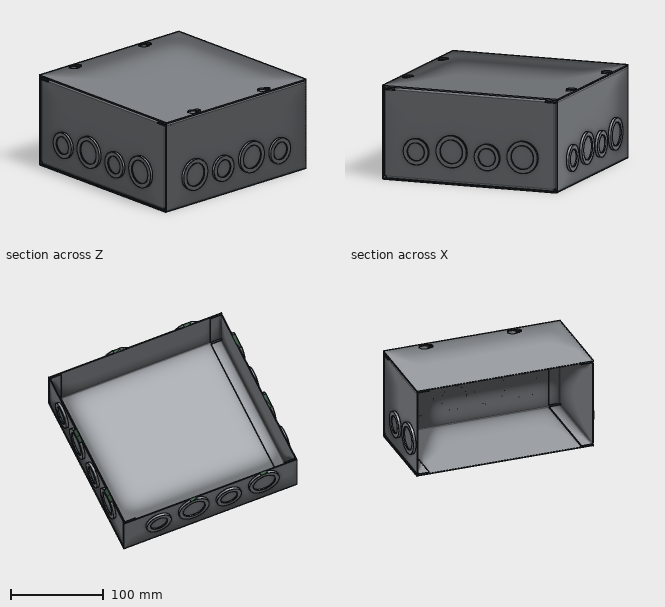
import cadquery as cq

box_side = 203.3
total_height = 103.1
sheet = 1.5
boss_height = 3.0

half_side = box_side / 2
rim_height = total_height - sheet

wrapper_bend_radius = 2.0
panel_bend_radius = 2.5
flange_width = 14.0

panel_half_width = half_side - sheet
top_flange_half_length = 87.5
top_relief_depth = 3.1
bottom_relief = 2.7

knockout_count = 4
knockout_pitch = 41.2
small_ring_diameter = 28.9
small_centre_diameter = 19.7
large_ring_diameter = 35.1
large_centre_diameter = 26.0
centre_depth = 1.5
knockout_bottom_on_panel = 19.0
knockout_bottom_on_side = 17.0

screw_x = 94.7
screw_y = box_side / 4
screw_hole_diameter = 4.2
keyhole_slot_width = 7.0
keyhole_head_diameter = 11.0
keyhole_length = 6.5

screw_points = [(sx * screw_x, sy * screw_y) for sx in (-1, 1) for sy in (-1, 1)]


def block(x_range, y_range, z_range):
    """Box between the given limits."""
    (x0, x1), (y0, y1), (z0, z1) = x_range, y_range, z_range
    return cq.Workplane("XY").box(x1 - x0, y1 - y0, z1 - z0, centered=False).translate((x0, y0, z0))


def make_knockout_row(plane, bottom):
    """Build a row of alternating small and large knockouts along the plane's local X axis."""
    sizes = [(small_ring_diameter, small_centre_diameter), (large_ring_diameter, large_centre_diameter)]
    row = cq.Workplane("XY")
    for index in range(knockout_count):
        ring_diameter, centre_diameter = sizes[index % 2]
        place = ((index - (knockout_count - 1) / 2) * knockout_pitch, bottom + ring_diameter / 2)
        ring = cq.Workplane(plane).center(*place).circle(ring_diameter / 2).extrude(boss_height)
        centre = (
            cq.Workplane(plane)
            .workplane(offset=boss_height - centre_depth)
            .center(*place)
            .circle(centre_diameter / 2)
            .extrude(centre_depth)
        )
        row = row.union(ring.cut(centre))
    return row


def make_wrapper():
    """Floor and both X side walls bent from one sheet, with inward flanges under the cover."""
    full_length = (-half_side, half_side)
    outside = block(full_length, full_length, (0, rim_height)).edges("|Y").fillet(wrapper_bend_radius)
    inner_half = half_side - sheet
    inside = block((-inner_half, inner_half), full_length, (sheet, rim_height - sheet))
    inside = inside.edges("|Y").fillet(wrapper_bend_radius - sheet)
    opening_half = half_side - flange_width
    opening = block((-opening_half, opening_half), full_length, (rim_height / 2, rim_height))
    wrapper = outside.cut(inside).cut(opening)

    screw_holes = (
        cq.Workplane("XY")
        .workplane(offset=rim_height - sheet)
        .pushPoints(screw_points)
        .circle(screw_hole_diameter / 2)
        .extrude(sheet)
    )
    wrapper = wrapper.cut(screw_holes)

    left_row = cq.Plane(origin=(-half_side, 0, 0), xDir=(0, -1, 0), normal=(-1, 0, 0))
    knockouts = make_knockout_row(left_row, knockout_bottom_on_side)
    return wrapper.union(knockouts).union(knockouts.mirror("YZ"))


def make_end_panel():
    """Tray-shaped panel closing the -Y end, its four flanges bent inward."""
    depth_range = (-half_side, -half_side + flange_width)
    width_range = (-panel_half_width, panel_half_width)
    outside = block(width_range, depth_range, (sheet, rim_height))
    outside = outside.faces("<Y").edges().fillet(panel_bend_radius)
    inner_half = panel_half_width - sheet
    inside = block(
        (-inner_half, inner_half),
        (depth_range[0] + sheet, depth_range[1]),
        (2 * sheet, rim_height - sheet),
    )
    inside = inside.faces("<Y").edges().fillet(panel_bend_radius - sheet)
    panel = outside.cut(inside)

    top_relief = block(
        (top_flange_half_length, half_side), depth_range, (rim_height - top_relief_depth, rim_height)
    )
    bottom_corner = block(
        (panel_half_width - bottom_relief, half_side), depth_range, (sheet, sheet + bottom_relief)
    )
    for relief in (top_relief, bottom_corner):
        panel = panel.cut(relief).cut(relief.mirror("YZ"))

    row_plane = cq.Plane(origin=(0, -half_side, 0), xDir=(1, 0, 0), normal=(0, -1, 0))
    return panel.union(make_knockout_row(row_plane, knockout_bottom_on_panel))


def make_cover():
    """Flat square cover with four keyholes."""
    cover = cq.Workplane("XY").workplane(offset=rim_height).rect(box_side, box_side).extrude(sheet)
    for x, y in screw_points:
        base = cq.Workplane("XY").workplane(offset=rim_height)
        head_y = y - keyhole_length
        slot_end = base.center(x, y).circle(keyhole_slot_width / 2).extrude(sheet)
        slot = base.center(x, (y + head_y) / 2).rect(keyhole_slot_width, keyhole_length).extrude(sheet)
        head = base.center(x, head_y).circle(keyhole_head_diameter / 2).extrude(sheet)
        cover = cover.cut(slot_end.union(slot).union(head))
    return cover


wrapper = make_wrapper()
end_panel = make_end_panel()
end_panels = [end_panel.rotate((0, 0, 0), (0, 0, 1), angle) for angle in (0, 180)]
cover = make_cover()

result = cq.Compound.makeCompound([wrapper.val(), *[panel.val() for panel in end_panels], cover.val()])